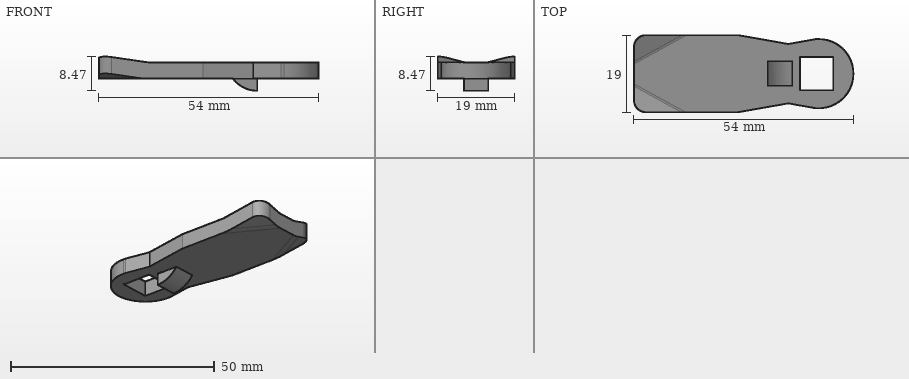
import cadquery as cq
import math

length = 54.0
width = 19.0
thickness = 4.0
corner_radius = 3.0

taper_angle = 10.0
taper_start_x = 25.6
neck_x = 37.95
flat_start_x = 44.75
end_radius = 8.55

bend_side_x = 12.8
bend_line_angle = 28.8
bend_angle = 16.8
bend_radius = 1.6

hole_side = 8.1
hole_center_x = 44.95

catch_left_x = 32.95
catch_side = 6.05
catch_drop = 3.0
catch_curve_radius = 7.6

half_width = width / 2
taper_slope = math.tan(math.radians(taper_angle))
neck_half_width = half_width - (neck_x - taper_start_x) * taper_slope
end_center_x = length - end_radius
catch_right_x = catch_left_x + catch_side
tall = 3 * thickness


def plate_outline(height):
    """Prism of the whole plan outline, standing on the underside plane."""
    return (
        cq.Workplane("XY")
        .moveTo(0, -half_width + corner_radius)
        .radiusArc((corner_radius, -half_width), -corner_radius)
        .lineTo(taper_start_x, -half_width)
        .lineTo(neck_x, -neck_half_width)
        .lineTo(flat_start_x, -end_radius)
        .lineTo(end_center_x, -end_radius)
        .threePointArc((length, 0), (end_center_x, end_radius))
        .lineTo(flat_start_x, end_radius)
        .lineTo(neck_x, neck_half_width)
        .lineTo(taper_start_x, half_width)
        .lineTo(corner_radius, half_width)
        .radiusArc((0, half_width - corner_radius), -corner_radius)
        .close()
        .extrude(height)
    )


def bend_plane():
    """Section plane across the +Y bend line: local x points out to the corner, local y points up."""
    angle = math.radians(bend_line_angle)
    outward = (-math.sin(angle), math.cos(angle), 0)
    along_bend = (math.cos(angle), math.sin(angle), 0)
    plane = cq.Plane(origin=(bend_side_x, half_width, 0), xDir=outward, normal=along_bend)
    return cq.Workplane(plane)


def bent_corner():
    """Sheet that curves up from the +Y bend line and carries on as a flat tilted flap."""
    tilt = math.radians(bend_angle)
    center_z = thickness + bend_radius
    outer_radius = bend_radius + thickness

    def arc_point(radius, angle):
        return (radius * math.sin(angle), center_z - radius * math.cos(angle))

    def flap_end(radius):
        x, z = arc_point(radius, tilt)
        return (x + width * math.cos(tilt), z + width * math.sin(tilt))

    return (
        bend_plane()
        .moveTo(0, 0)
        .threePointArc(arc_point(outer_radius, tilt / 2), arc_point(outer_radius, tilt))
        .lineTo(*flap_end(outer_radius))
        .lineTo(*flap_end(bend_radius))
        .lineTo(*arc_point(bend_radius, tilt))
        .threePointArc(arc_point(bend_radius, tilt / 2), (0, thickness))
        .close()
        .extrude(length / 2, both=True)
    )


def corner_region():
    """Everything outside the +Y bend line, over the full height of the part."""
    return (
        bend_plane()
        .rect(width, tall, centered=(False, True))
        .extrude(length / 2, both=True)
    )


def bent_plate():
    """Flat plate whose two left-hand corners are replaced by raised flaps."""
    corner = corner_region()
    flap = bent_corner().intersect(plate_outline(tall))
    plate = plate_outline(thickness)
    plate = plate.cut(corner).cut(corner.mirror("XZ"))
    return plate.union(flap).union(flap.mirror("XZ"))


def square_hole():
    """Through hole in the round end."""
    return cq.Workplane("XY").center(hole_center_x, 0).rect(hole_side, hole_side).extrude(thickness)


def above_catch_curve(left_z, right_z):
    """Square block, flush with the plate top, that reaches down to an arc falling towards +X."""
    outline = cq.Workplane("XZ").moveTo(catch_right_x, thickness).lineTo(catch_left_x, thickness)
    if left_z < thickness:
        outline = outline.lineTo(catch_left_x, left_z)
    return (
        outline
        .radiusArc((catch_right_x, right_z), -catch_curve_radius)
        .close()
        .extrude(catch_side / 2, both=True)
    )


catch = above_catch_curve(0, -catch_drop)
window = above_catch_curve(thickness, 0)
result = bent_plate().cut(square_hole()).union(catch).cut(window)